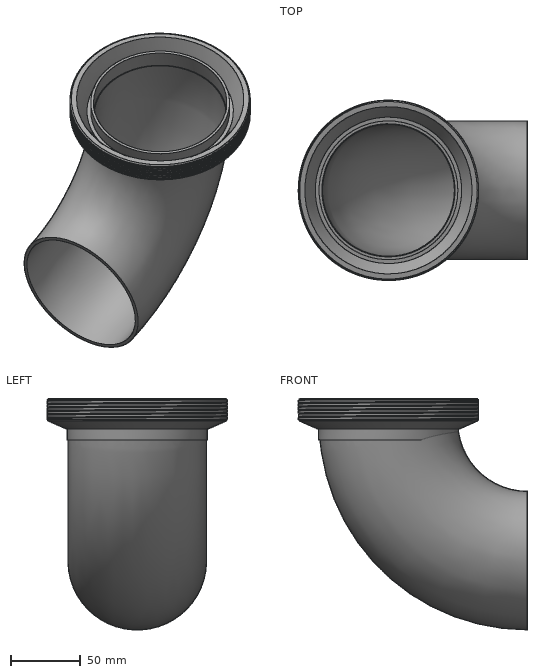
import cadquery as cq


pipe_radius = 50.0
bend_bore_radius = 47.5
bend_radius = 100.0

neck_radius = 50.5
neck_bore_radius = 48.0
neck_bottom = -13.0

lip_radius = 50.0
lip_top = 13.0

thread_radius = 65.0
flange_top = 16.66
flange_chamfer = 1.0
rim_bottom = 0.5
cone_bottom = -5.0
cone_bottom_radius = 51.5
floor_height = 3.5
floor_radius = 52.75
recess_top_radius = 60.25

thread_pitch = 2.5
groove_depth = 1.0
groove_width = 1.0
groove_clearance = 0.5
groove_start = -4.1
groove_turns = 9


def revolve_about_z(points):
    """Revolve a closed (radius, height) outline about the Z axis."""
    return cq.Workplane("XZ").polyline(points).close().revolve(360, (0, 0, 0), (0, 1, 0))


def make_bend(radius):
    """Solid quarter torus from the flange axis down to the outlet plane."""
    return (
        cq.Workplane("XY")
        .circle(radius)
        .revolve(90, (bend_radius, 0, 0), (bend_radius, -1, 0))
    )


def make_neck():
    """Neck tube, stepping in to the lip above the flange floor."""
    return revolve_about_z([
        (neck_bore_radius, neck_bottom),
        (neck_radius, neck_bottom),
        (neck_radius, floor_height),
        (lip_radius, floor_height),
        (lip_radius, lip_top),
        (neck_bore_radius, lip_top),
    ])


def make_flange_blank():
    """Unthreaded flange with a conical underside and a conical recess."""
    rim_radius = thread_radius - flange_chamfer
    return revolve_about_z([
        (neck_bore_radius, cone_bottom),
        (cone_bottom_radius, cone_bottom),
        (rim_radius, rim_bottom),
        (thread_radius, rim_bottom + flange_chamfer),
        (thread_radius, flange_top - flange_chamfer),
        (rim_radius, flange_top),
        (recess_top_radius, flange_top),
        (floor_radius, floor_height),
        (neck_bore_radius, floor_height),
    ])


def make_thread_groove():
    """Right-handed helical V groove that starts on the -X side."""
    root_radius = thread_radius - groove_depth
    mouth_radius = thread_radius + groove_clearance
    mouth_half_width = groove_width / 2 * (groove_depth + groove_clearance) / groove_depth
    helix = cq.Wire.makeHelix(thread_pitch, thread_pitch * groove_turns, root_radius)
    groove = (
        cq.Workplane("XZ")
        .polyline([
            (root_radius, 0),
            (mouth_radius, mouth_half_width),
            (mouth_radius, -mouth_half_width),
        ])
        .close()
        .sweep(cq.Workplane(helix), isFrenet=True)
    )
    return groove.rotate((0, 0, 0), (0, 0, 1), 180).translate((0, 0, groove_start))


def make_threaded_bar():
    """Bar longer than the flange, carrying the whole helical groove."""
    bar_bottom = groove_start - thread_pitch
    bar_length = thread_pitch * (groove_turns + 2)
    bar = cq.Workplane("XY").workplane(offset=bar_bottom).circle(thread_radius).extrude(bar_length)
    return bar.cut(make_thread_groove())


bend = make_bend(pipe_radius).cut(make_bend(bend_bore_radius))
flange = make_threaded_bar().intersect(make_flange_blank())
result = bend.union(make_neck()).union(flange)